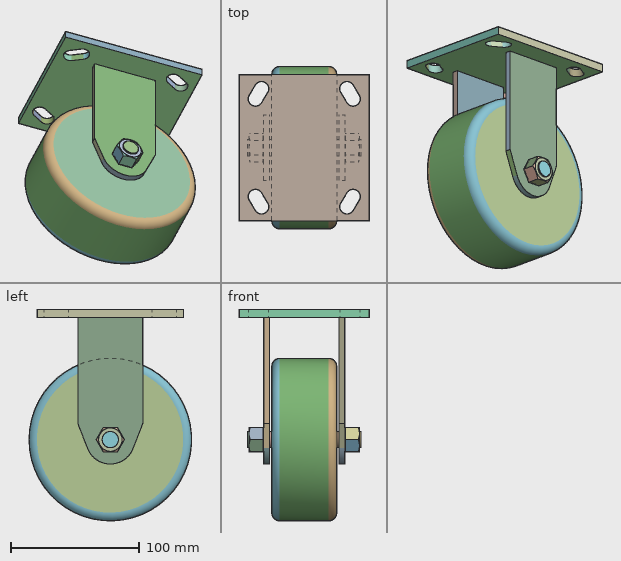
import cadquery as cq
import math


WHEEL_DIAMETER = 127.0
WHEEL_WIDTH = 50.8
WHEEL_EDGE_RADIUS = 6.35

PLATE_LENGTH_X = 101.6
PLATE_LENGTH_Y = 114.3
PLATE_THICKNESS = 6.35
PLATE_TOP_Z = 101.6
PLATE_BOTTOM_Z = PLATE_TOP_Z - PLATE_THICKNESS

SQUARE_PATTERN = (76.2, 76.2)
RECTANGULAR_PATTERN = (66.675, 92.075)
SLOT_WIDTH = 11.1125

LEG_WIDTH = 50.8
LEG_THICKNESS = 4.7625
LEG_OUTER_X = 31.75
LEG_INNER_X = LEG_OUTER_X - LEG_THICKNESS
LEG_TIP_RADIUS = 19.05
LEG_TAPER_START_Z = 12.7

AXLE_DIAMETER = 12.7
AXLE_END_X = 44.45
NUT_ACROSS_FLATS = 19.05
NUT_ACROSS_CORNERS = NUT_ACROSS_FLATS / math.cos(math.radians(30))
NUT_HEX_THICKNESS = 11.1125
NUT_WASHER_FACE_THICKNESS = 0.4
NUT_HEX_INNER_X = LEG_OUTER_X + NUT_WASHER_FACE_THICKNESS
NUT_OUTER_X = NUT_HEX_INNER_X + NUT_HEX_THICKNESS
NUT_FACE_DIAMETER = 18.3
NUT_CHAMFER_ANGLE = 30.0

SIDES = (-1, 1)


def cylinder_along_x(diameter, length):
    """Cylinder on the axle line, centred on the origin."""
    return cq.Workplane("YZ").circle(diameter / 2).extrude(length / 2, both=True)


def make_wheel():
    wheel = cylinder_along_x(WHEEL_DIAMETER, WHEEL_WIDTH)
    return wheel.edges("%CIRCLE").fillet(WHEEL_EDGE_RADIUS)


def make_slot(side_x, side_y):
    """Cutter for the slot in one corner of the plate."""
    start_x, start_y = (size / 2 for size in SQUARE_PATTERN)
    end_x, end_y = (size / 2 for size in RECTANGULAR_PATTERN)
    run_x = side_x * (end_x - start_x)
    run_y = side_y * (end_y - start_y)
    overall_length = math.hypot(run_x, run_y) + SLOT_WIDTH
    angle = math.degrees(math.atan2(run_y, run_x))
    return (
        cq.Workplane("XY", origin=(0, 0, PLATE_BOTTOM_Z))
        .center(side_x * (start_x + end_x) / 2, side_y * (start_y + end_y) / 2)
        .slot2D(overall_length, SLOT_WIDTH, angle)
        .extrude(PLATE_THICKNESS)
    )


def make_plate():
    plate = (
        cq.Workplane("XY", origin=(0, 0, PLATE_BOTTOM_Z))
        .rect(PLATE_LENGTH_X, PLATE_LENGTH_Y)
        .extrude(PLATE_THICKNESS)
    )
    for side_x in SIDES:
        for side_y in SIDES:
            plate = plate.cut(make_slot(side_x, side_y))
    return plate


def make_leg():
    """Leg on the +X side, tapering tangentially into a round tip below the axle."""
    half_width = LEG_WIDTH / 2
    corner_distance = math.hypot(half_width, LEG_TAPER_START_Z)
    corner_angle = math.atan2(LEG_TAPER_START_Z, half_width)
    tangent_angle = corner_angle - math.acos(LEG_TIP_RADIUS / corner_distance)
    tangent_y = LEG_TIP_RADIUS * math.cos(tangent_angle)
    tangent_z = LEG_TIP_RADIUS * math.sin(tangent_angle)
    return (
        cq.Workplane("YZ", origin=(LEG_INNER_X, 0, 0))
        .moveTo(-half_width, PLATE_BOTTOM_Z)
        .lineTo(-half_width, LEG_TAPER_START_Z)
        .lineTo(-tangent_y, tangent_z)
        .threePointArc((0, -LEG_TIP_RADIUS), (tangent_y, tangent_z))
        .lineTo(half_width, LEG_TAPER_START_Z)
        .lineTo(half_width, PLATE_BOTTOM_Z)
        .close()
        .extrude(LEG_THICKNESS)
    )


def make_nut():
    """Hexagon nut on the +X side, seated on a round washer face, its outer corners cut back by a cone."""
    hexagon = (
        cq.Workplane("YZ", origin=(NUT_HEX_INNER_X, 0, 0))
        .polygon(6, NUT_ACROSS_CORNERS)
        .extrude(NUT_HEX_THICKNESS)
    )
    corner_radius = NUT_ACROSS_CORNERS / 2
    face_radius = NUT_FACE_DIAMETER / 2
    chamfer_depth = (corner_radius - face_radius) * math.tan(math.radians(NUT_CHAMFER_ANGLE))
    chamfer_envelope = (
        cq.Workplane("XY")
        .moveTo(NUT_HEX_INNER_X, 0)
        .lineTo(NUT_HEX_INNER_X, corner_radius)
        .lineTo(NUT_OUTER_X - chamfer_depth, corner_radius)
        .lineTo(NUT_OUTER_X, face_radius)
        .lineTo(NUT_OUTER_X, 0)
        .close()
        .revolve(360, (0, 0, 0), (1, 0, 0))
    )
    washer_face = (
        cq.Workplane("YZ", origin=(LEG_OUTER_X, 0, 0))
        .circle(face_radius)
        .extrude(NUT_WASHER_FACE_THICKNESS)
    )
    return hexagon.intersect(chamfer_envelope).union(washer_face)


def make_caster():
    side_parts = make_leg().union(make_nut())
    axle = cylinder_along_x(AXLE_DIAMETER, 2 * AXLE_END_X)
    return (
        make_plate()
        .union(side_parts)
        .union(side_parts.mirror("YZ"))
        .union(axle)
        .union(make_wheel())
    )


result = make_caster()